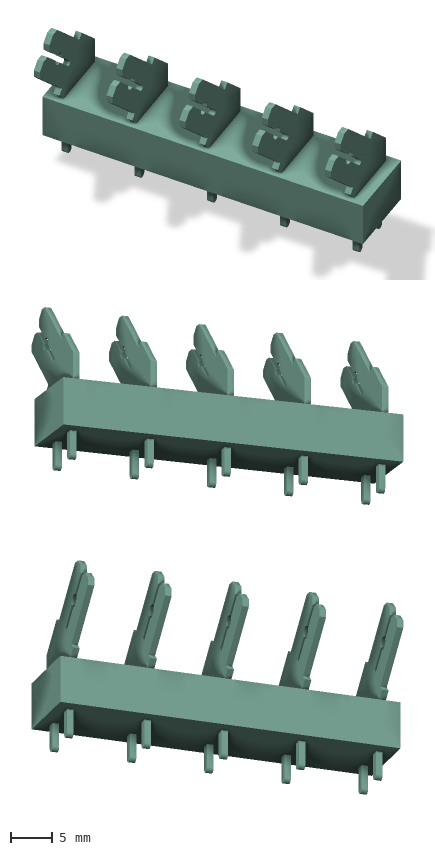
import cadquery as cq
import math


housing_length = 44.0
housing_depth = 9.8
housing_height = 6.0

terminal_count = 5
terminal_pitch = 10.0
terminal_thickness = 0.85

pin_width = 1.0
pin_spacing = 4.95
pin_projection = 3.5

blade_width = 8.1
bend_angle = 45.0
bend_height = 1.9
shoulder_distance = 3.12
slot_root_distance = 3.85
hole_distance = 7.52
tip_distance = 11.85
fork_width = 6.3
slot_width = 0.7
hole_diameter = 1.65
tip_chamfer = 0.7

terminal_positions = [(i - (terminal_count - 1) / 2) * terminal_pitch for i in range(terminal_count)]
pin_positions = [-pin_spacing / 2, pin_spacing / 2]


def plate(width, bottom, top):
    """Upright rectangular plate of terminal thickness, centred on the Z axis."""
    return (
        cq.Workplane("XY")
        .box(terminal_thickness, width, top - bottom, centered=(True, True, False))
        .translate((0, 0, bottom))
    )


def cross_cylinder(diameter, height):
    """Cylinder across the terminal thickness, with its axis at the given height."""
    return (
        cq.Workplane("YZ")
        .center(0, height)
        .circle(diameter / 2)
        .extrude(terminal_thickness / 2, both=True)
    )


def make_stem():
    """Blade from the housing top, around the bend, to the shoulders of the fork."""
    lean = math.radians(bend_angle)
    half_width = blade_width / 2
    miter_rise = half_width * math.tan(lean / 2)
    shoulder_y = -shoulder_distance * math.sin(lean)
    shoulder_z = bend_height + shoulder_distance * math.cos(lean)
    across_y = half_width * math.cos(lean)
    across_z = half_width * math.sin(lean)
    outline = [
        (half_width, 0),
        (half_width, bend_height + miter_rise),
        (shoulder_y + across_y, shoulder_z + across_z),
        (shoulder_y - across_y, shoulder_z - across_z),
        (-half_width, bend_height - miter_rise),
        (-half_width, 0),
    ]
    return cq.Workplane("YZ").polyline(outline).close().extrude(terminal_thickness / 2, both=True)


def make_fork():
    """Two-pronged contact, shaped upright from the bend point and then leaned over."""
    slot = plate(slot_width, slot_root_distance, tip_distance)
    slot = slot.union(cross_cylinder(slot_width, slot_root_distance))
    fork = plate(fork_width, shoulder_distance, tip_distance).cut(slot)
    fork = fork.faces(">Z").edges("|X").chamfer(tip_chamfer)
    fork = fork.cut(cross_cylinder(hole_diameter, hole_distance))
    return fork.rotate((0, 0, 0), (1, 0, 0), bend_angle).translate((0, 0, bend_height))


def make_pin():
    """Pin from the housing top down through the housing, with a rounded end."""
    tip_center = -housing_height - pin_projection + pin_width / 2
    return plate(pin_width, tip_center, 0).union(cross_cylinder(pin_width, tip_center))


def make_terminal(x):
    """One forked terminal with its two pins, as a single solid."""
    terminal = make_stem().union(make_fork())
    for y in pin_positions:
        terminal = terminal.union(make_pin().translate((0, y, 0)))
    return terminal.translate((x, 0, 0))


def make_housing():
    """Plain block with a through hole for every pin."""
    block = cq.Workplane("XY").box(
        housing_length, housing_depth, housing_height, centered=(True, True, False)
    ).translate((0, 0, -housing_height))
    pin_hole = plate(pin_width, -housing_height, 0)
    for x in terminal_positions:
        for y in pin_positions:
            block = block.cut(pin_hole.translate((x, y, 0)))
    return block


housing = make_housing().solids()
terminals = [make_terminal(x).solids() for x in terminal_positions]

result = cq.Compound.makeCompound([housing.val(), *[terminal.val() for terminal in terminals]])